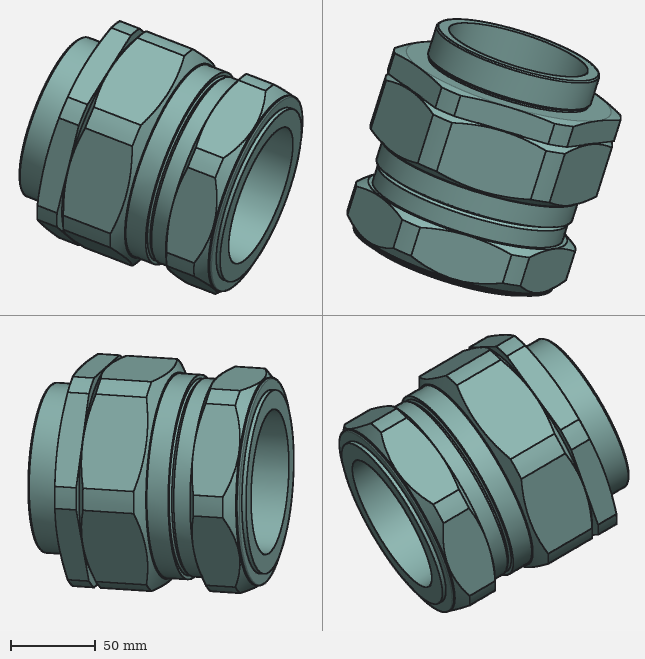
import cadquery as cq
import math


BORE_RADIUS = 42.9

THREAD_RADIUS = 50.3
THREAD_CHAMFER = 1.0
THREAD_END = 17.9
RELIEF_RADIUS = THREAD_RADIUS - THREAD_CHAMFER

BODY_FLATS = 127.0
BODY_CORNER_RADIUS = 69.8
BODY_CONE_RADIUS = 63.1
LOCK_NUT_START = 20.0
LOCK_NUT_CONE = 1.8
BODY_START = 34.8
BODY_FRONT_CONE = 4.2
BODY_REAR_CONE = 5.2
BODY_REAR_RADIUS = 61.0
BODY_CONE_END = 75.0
BODY_END = 75.4

FRONT_COLLAR_RADIUS = 60.5
FRONT_COLLAR_END = 88.4
GROOVE_RADIUS = 57.0
GROOVE_BOTTOM = 89.6
GROOVE_WALL_RADIUS = GROOVE_RADIUS + GROOVE_BOTTOM - FRONT_COLLAR_END
REAR_COLLAR_RADIUS = 58.6
REAR_COLLAR_START = GROOVE_BOTTOM + REAR_COLLAR_RADIUS - GROOVE_RADIUS

CAP_FLATS = 122.9
CAP_CORNER_RADIUS = 67.6
CAP_START = 101.9
CAP_FRONT_CONE = 3.6
CAP_CONE_RADIUS = 61.3
CAP_END = 129.9
CAP_REAR_CONE = CAP_CORNER_RADIUS - CAP_CONE_RADIUS

RIM_RADIUS = CAP_FLATS / 2
RIM_START = 130.5
RIM_END = 131.7
RIM_ROUND = 0.5
SEAL_RADIUS = 54.3
OVERALL_LENGTH = 134.2


def turned(profile):
    """Revolve (x, radius) points about the X axis, closing the profile on the axis."""
    first_x = profile[0][0]
    last_x = profile[-1][0]
    points = [(first_x, 0), *profile, (last_x, 0)]
    return cq.Workplane("XY").polyline(points).close().revolve(360, (0, 0, 0), (1, 0, 0))


def hexagon(flats, profile):
    """Hexagonal prism with flats facing +Z and -Z, its corners turned to the given profile."""
    start = profile[0][0]
    length = profile[-1][0] - start
    across_corners = flats / math.cos(math.pi / 6)
    prism = cq.Workplane("YZ", origin=(start, 0, 0)).polygon(6, across_corners).extrude(length)
    return prism.intersect(turned(profile))


round_body = turned([
    (0, RELIEF_RADIUS),
    (THREAD_CHAMFER, THREAD_RADIUS),
    (THREAD_END, THREAD_RADIUS),
    (THREAD_END + THREAD_CHAMFER, RELIEF_RADIUS),
    (LOCK_NUT_START, RELIEF_RADIUS),
    (LOCK_NUT_START, FRONT_COLLAR_RADIUS),
    (FRONT_COLLAR_END, FRONT_COLLAR_RADIUS),
    (FRONT_COLLAR_END, GROOVE_WALL_RADIUS),
    (GROOVE_BOTTOM, GROOVE_RADIUS),
    (REAR_COLLAR_START, REAR_COLLAR_RADIUS),
    (CAP_END, REAR_COLLAR_RADIUS),
    (CAP_END, CAP_CONE_RADIUS),
    (RIM_START, CAP_CONE_RADIUS),
    (RIM_START, SEAL_RADIUS),
    (OVERALL_LENGTH, SEAL_RADIUS),
])

lock_nut = hexagon(BODY_FLATS, [
    (LOCK_NUT_START, BODY_CONE_RADIUS),
    (LOCK_NUT_START + LOCK_NUT_CONE, BODY_CORNER_RADIUS),
    (BODY_START, BODY_CORNER_RADIUS),
])

gland_body = hexagon(BODY_FLATS, [
    (BODY_START, BODY_CONE_RADIUS),
    (BODY_START + BODY_FRONT_CONE, BODY_CORNER_RADIUS),
    (BODY_CONE_END - BODY_REAR_CONE, BODY_CORNER_RADIUS),
    (BODY_CONE_END, BODY_REAR_RADIUS),
    (BODY_END, BODY_REAR_RADIUS),
])

cap_nut = hexagon(CAP_FLATS, [
    (CAP_START, CAP_CONE_RADIUS),
    (CAP_START + CAP_FRONT_CONE, CAP_CORNER_RADIUS),
    (CAP_END - CAP_REAR_CONE, CAP_CORNER_RADIUS),
    (CAP_END, CAP_CONE_RADIUS),
])

rim_disc = cq.Workplane("YZ", origin=(RIM_START, 0, 0)).circle(RIM_RADIUS).extrude(RIM_END - RIM_START)
rounded_rim = rim_disc.faces(">X").edges().fillet(RIM_ROUND)

bore = cq.Workplane("YZ").circle(BORE_RADIUS).extrude(OVERALL_LENGTH)

solid_gland = round_body.union(lock_nut).union(gland_body).union(cap_nut).union(rounded_rim)
result = solid_gland.cut(bore)